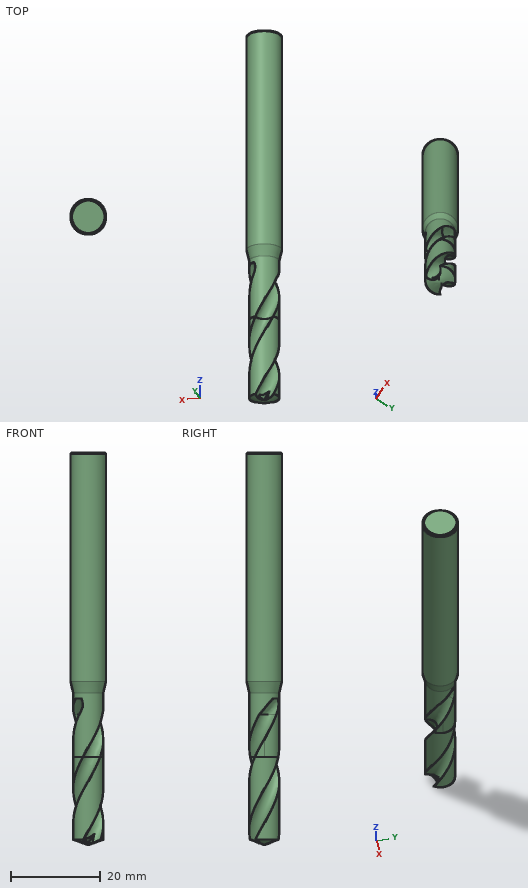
import cadquery as cq
import math

LENGTH = 88.0
SHANK_DIAMETER = 8.0
SHANK_BOTTOM = 36.7
SHANK_CHAMFER = 0.35
NECK_TOP = 34.1
DRILL_DIAMETER = 6.8
POINT_ANGLE = 140.0
JOINT_HEIGHT = 19.8

FLUTE_COUNT = 2
FLUTE_PITCH = 37.6
FLUTE_RADIUS = 2.0
FLUTE_OFFSET = 3.1
FLUTE_JOINT_ANGLE = -74.0
FLUTE_TOP = 29.3
RUNOUT_TOP = 32.9
RUNOUT_OUTWARD = 1.3
RUNOUT_SIDEWAYS = 2.8

GASH_START = cq.Vector(0.1, -0.35, 0.6)
GASH_END = cq.Vector(1.6, -0.7, 2.8)
GASH_DEPTH = 1.1
GASH_VEE_ANGLE = 90.0

DRILL_RADIUS = DRILL_DIAMETER / 2
SHANK_RADIUS = SHANK_DIAMETER / 2
POINT_HEIGHT = DRILL_RADIUS / math.tan(math.radians(POINT_ANGLE / 2))
FLUTE_SPACING = 360 / FLUTE_COUNT
FLUTE_TURN = 360 * FLUTE_TOP / FLUTE_PITCH
FLUTE_START_ANGLE = FLUTE_JOINT_ANGLE - 360 * JOINT_HEIGHT / FLUTE_PITCH


def turned_about_axis(shape, angle):
    return shape.rotate((0, 0, 0), (0, 0, 1), angle)


def make_shank_blank():
    """Round shank, taper and upper part of the fluted length."""
    profile = [
        (0, JOINT_HEIGHT),
        (DRILL_RADIUS, JOINT_HEIGHT),
        (DRILL_RADIUS, NECK_TOP),
        (SHANK_RADIUS, SHANK_BOTTOM),
        (SHANK_RADIUS, LENGTH - SHANK_CHAMFER),
        (SHANK_RADIUS - SHANK_CHAMFER, LENGTH),
        (0, LENGTH),
    ]
    return cq.Workplane("XZ").polyline(profile).close().revolve(360, (0, 0), (0, 1))


def make_head_blank():
    """Cylinder with a conical drill point."""
    profile = [
        (0, 0),
        (DRILL_RADIUS, POINT_HEIGHT),
        (DRILL_RADIUS, JOINT_HEIGHT),
        (0, JOINT_HEIGHT),
    ]
    return cq.Workplane("XZ").polyline(profile).close().revolve(360, (0, 0), (0, 1))


def make_helix_cutter():
    """Helical channel from the point up to the runout, starting along +X."""
    section = cq.Workplane("XY").moveTo(FLUTE_OFFSET, 0).circle(FLUTE_RADIUS)
    return section.twistExtrude(FLUTE_TOP, FLUTE_TURN)


def make_runout_cutter():
    """Straight continuation of the channel that climbs out of the drill."""
    section = cq.Wire.makeCircle(
        FLUTE_RADIUS, cq.Vector(FLUTE_OFFSET, 0, FLUTE_TOP), cq.Vector(0, 0, 1))
    travel = cq.Vector(RUNOUT_OUTWARD, RUNOUT_SIDEWAYS, RUNOUT_TOP - FLUTE_TOP)
    cutter = cq.Workplane(cq.Solid.extrudeLinear(section, [], travel))
    return turned_about_axis(cutter, FLUTE_TURN)


def make_gash_cutter():
    """V prism along the valley line, open outward and down, away from the web."""
    valley = GASH_END - GASH_START
    open_side = cq.Vector(0, -valley.z, valley.y)
    section_plane = cq.Plane(GASH_START, xDir=open_side, normal=valley)
    half_width = GASH_DEPTH * math.tan(math.radians(GASH_VEE_ANGLE / 2))
    section = cq.Workplane(section_plane).polyline(
        [(0, 0), (GASH_DEPTH, half_width), (GASH_DEPTH, -half_width)]).close()
    return section.extrude(valley.Length)


shank = make_shank_blank()
cutting_head = make_head_blank()
helix_cutter = make_helix_cutter()
runout_cutter = make_runout_cutter()
gash_cutter = make_gash_cutter()
for index in range(FLUTE_COUNT):
    flute_angle = FLUTE_START_ANGLE + index * FLUTE_SPACING
    helix = turned_about_axis(helix_cutter, flute_angle)
    shank = shank.cut(helix).cut(turned_about_axis(runout_cutter, flute_angle))
    cutting_head = cutting_head.cut(helix)
    cutting_head = cutting_head.cut(turned_about_axis(gash_cutter, index * FLUTE_SPACING))

result = cq.Compound.makeCompound([shank.solids().val(), cutting_head.solids().val()])